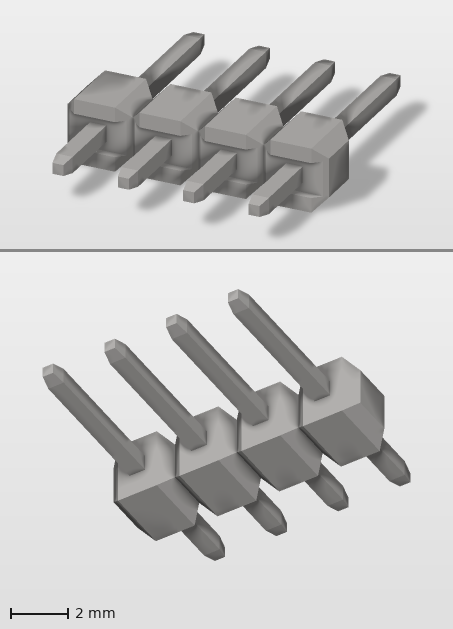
import cadquery as cq

pin_count = 4
pitch = 2.54

block_depth = 2.54
block_height = 2.5
bevel_x = 0.47
bevel_y = 0.46
bevel_z = 0.5

slot_depth = 0.3
slot_height = 1.36

pin_length = 11.54
pin_side = 0.63
tip_side = 0.43
tip_length = 0.54
front_reach = 3.0

row_length = pin_count * pitch
block_front = -block_depth / 2
pin_front = block_front - front_reach
pin_back = pin_front + pin_length


def bevelled_end(inner_x, outer_x):
    """Frustum from the full block section down to the small end face."""
    return (
        cq.Workplane("YZ", origin=(inner_x, 0, 0))
        .rect(block_depth, block_height)
        .workplane(offset=outer_x - inner_x)
        .rect(block_depth - 2 * bevel_y, block_height - 2 * bevel_z)
        .loft(combine=True)
    )


def block(center_x):
    """One insulator block, bevelled on both X ends."""
    core_half = pitch / 2 - bevel_x
    core = cq.Workplane("XY").box(2 * core_half, block_depth, block_height)
    core = core.translate((center_x, 0, 0))
    for side in (-1, 1):
        end = bevelled_end(center_x + side * core_half, center_x + side * pitch / 2)
        core = core.union(end)
    return core


def tip(base_y, end_y):
    """Tapered pin end, narrowing from base_y to end_y."""
    return (
        cq.Workplane("XZ", origin=(0, base_y, 0))
        .rect(pin_side, pin_side)
        .workplane(offset=base_y - end_y)
        .rect(tip_side, tip_side)
        .loft(combine=True)
    )


def pin(center_x):
    """Square pin running along Y, tapered at both ends."""
    shaft_front = pin_front + tip_length
    shaft_back = pin_back - tip_length
    shaft = cq.Workplane("XY").box(pin_side, shaft_back - shaft_front, pin_side)
    shaft = shaft.translate((0, (shaft_front + shaft_back) / 2, 0))
    whole = shaft.union(tip(shaft_front, pin_front)).union(tip(shaft_back, pin_back))
    return whole.translate((center_x, 0, 0))


pin_places = [(i - (pin_count - 1) / 2) * pitch for i in range(pin_count)]

housing = block(pin_places[0])
for x in pin_places[1:]:
    housing = housing.union(block(x))

slot = cq.Workplane("XY").box(row_length, slot_depth, slot_height)
housing = housing.cut(slot.translate((0, block_front + slot_depth / 2, 0)))

result = housing
for x in pin_places:
    result = result.union(pin(x))